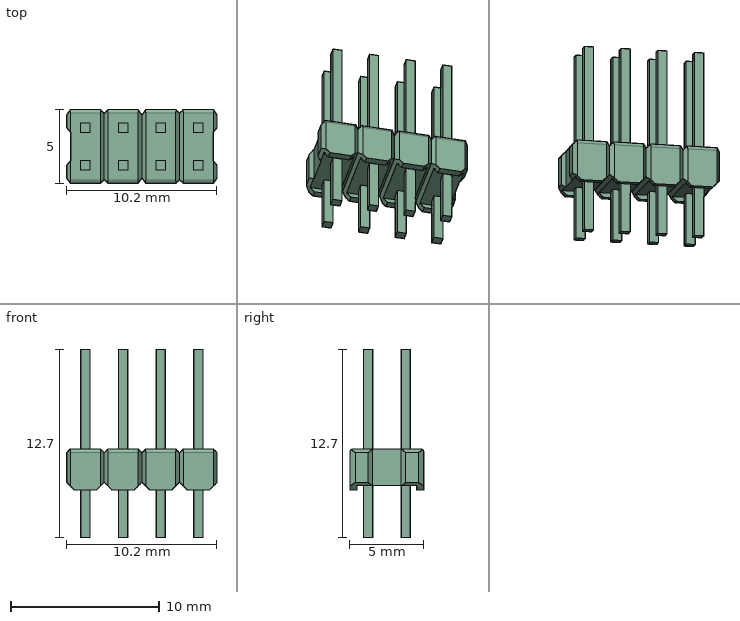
import cadquery as cq

columns = 4
rows = 2
pitch = 2.54
pin_size = 0.64
pin_length = 12.7
pin_below = 3.2

housing_length = columns * pitch
housing_depth = 5.0
housing_height = 2.8
foot_height = 0.3
foot_depth = 0.5
edge_radius = 0.25

side_bevel = 0.27
deep_corner_bevel = 0.38
shallow_corner_bevel = side_bevel
base_bevel = 0.53

recess_depth = side_bevel
recess_floor_width = 1.93
recess_mouth_width = 2.54


def grid_positions(count):
    """Centred coordinates of items spaced one pitch apart."""
    return [(index - (count - 1) / 2) * pitch for index in range(count)]


def corner_bevel(boundary):
    """Corner bevel along Y at a block boundary, counted from the -X end."""
    return deep_corner_bevel if boundary % 2 == 0 else shallow_corner_bevel


def make_block(left_corner_bevel, right_corner_bevel):
    """One bevelled block, the overlap of its front, plan and side outlines."""
    half_width = pitch / 2
    half_depth = housing_depth / 2
    top_half_width = half_width - side_bevel
    base_half_width = half_width - base_bevel

    front_outline = (
        cq.Workplane("XZ")
        .polyline([
            (-base_half_width, 0),
            (base_half_width, 0),
            (half_width, base_bevel),
            (half_width, housing_height - side_bevel),
            (top_half_width, housing_height),
            (-top_half_width, housing_height),
            (-half_width, housing_height - side_bevel),
            (-half_width, base_bevel),
        ])
        .close()
        .extrude(half_depth, both=True)
    )
    left_corner_y = half_depth - left_corner_bevel
    right_corner_y = half_depth - right_corner_bevel
    plan_outline = (
        cq.Workplane("XY")
        .polyline([
            (-top_half_width, -half_depth),
            (top_half_width, -half_depth),
            (half_width, -right_corner_y),
            (half_width, right_corner_y),
            (top_half_width, half_depth),
            (-top_half_width, half_depth),
            (-half_width, left_corner_y),
            (-half_width, -left_corner_y),
        ])
        .close()
        .extrude(housing_height)
    )
    side_outline = (
        cq.Workplane("XY")
        .box(pitch, housing_depth, housing_height, centered=(True, True, False))
        .edges("|X and >Z")
        .fillet(edge_radius)
    )
    return front_outline.intersect(plan_outline).intersect(side_outline)


def make_underside_channel():
    """Channel along X that leaves a foot at the front and back."""
    channel_width = housing_depth - 2 * foot_depth
    return cq.Workplane("XY").box(
        housing_length, channel_width, foot_height, centered=(True, True, False)
    )


def make_end_recess(side):
    """Full-height recess with flared walls in the -X (-1) or +X (+1) end."""
    mouth_x = side * housing_length / 2
    floor_x = mouth_x - side * recess_depth
    return (
        cq.Workplane("XY")
        .polyline([
            (mouth_x, -recess_mouth_width / 2),
            (floor_x, -recess_floor_width / 2),
            (floor_x, recess_floor_width / 2),
            (mouth_x, recess_mouth_width / 2),
        ])
        .close()
        .extrude(housing_height)
    )


def make_pin(x, y):
    """Square pin passing through the housing."""
    return (
        cq.Workplane("XY", origin=(x, y, -pin_below))
        .rect(pin_size, pin_size)
        .extrude(pin_length)
    )


result = cq.Workplane("XY")
for column, x in enumerate(grid_positions(columns)):
    block = make_block(corner_bevel(column), corner_bevel(column + 1))
    result = result.union(block.translate((x, 0, 0)))

result = result.cut(make_underside_channel())
for side in (-1, 1):
    result = result.cut(make_end_recess(side))

for x in grid_positions(columns):
    for y in grid_positions(rows):
        result = result.union(make_pin(x, y))